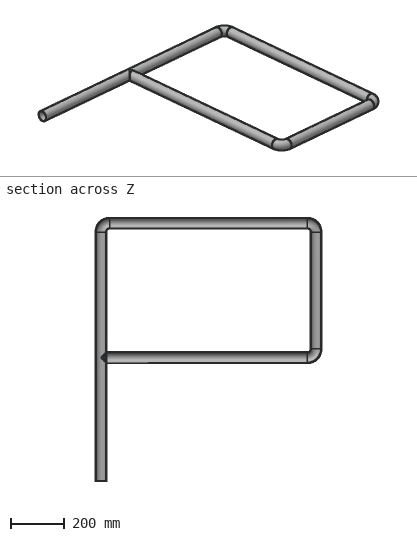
import cadquery as cq

TOTAL_LENGTH = 980.0
TOTAL_WIDTH = 842.0
TUBE_DIAMETER = 42.0
WALL = 3.0
BEND_RADIUS = 32.0
LOOP_SPACING = 500.0

TUBE_RADIUS = TUBE_DIAMETER / 2
BORE_RADIUS = TUBE_RADIUS - WALL

FAR_X = TOTAL_WIDTH - TUBE_DIAMETER
TOP_Y = TOTAL_LENGTH - TUBE_RADIUS
BOTTOM_Y = TOP_Y - LOOP_SPACING


def straight_tube(start, direction, length):
    """Hollow round tube running from start along direction."""
    plane = cq.Plane(origin=start, xDir=(0, 0, 1), normal=direction)
    return cq.Workplane(plane).circle(TUBE_RADIUS).circle(BORE_RADIUS).extrude(length)


def elbow(quarter_turns, corner_x, corner_y):
    """Quarter bend whose straight centrelines would cross at the corner.

    Unturned, it joins a tube on its -X side to a tube on its -Y side.
    """
    bend = (
        cq.Workplane("YZ", origin=(-BEND_RADIUS, 0, 0))
        .circle(TUBE_RADIUS)
        .circle(BORE_RADIUS)
        .revolve(90, (-BEND_RADIUS, 10, 0), (-BEND_RADIUS, 0, 0))
    )
    turned = bend.rotate((0, 0, 0), (0, 0, 1), 90 * quarter_turns)
    return turned.translate((corner_x, corner_y, 0))


def make_bottom_bar():
    """Bar with a saddle cut at its near end that fits around the pole."""
    bar = straight_tube((0, BOTTOM_Y, 0), (1, 0, 0), FAR_X - BEND_RADIUS)
    pole_envelope = cq.Workplane("XZ").circle(TUBE_RADIUS).extrude(-TOTAL_LENGTH)
    return bar.cut(pole_envelope).solids()


pole = straight_tube((0, 0, 0), (0, 1, 0), TOP_Y - BEND_RADIUS)
top_bar = straight_tube((BEND_RADIUS, TOP_Y, 0), (1, 0, 0), FAR_X - 2 * BEND_RADIUS)
far_bar = straight_tube(
    (FAR_X, BOTTOM_Y + BEND_RADIUS, 0), (0, 1, 0), LOOP_SPACING - 2 * BEND_RADIUS
)
bottom_bar = make_bottom_bar()

ELBOW_PLACES = [
    (0, FAR_X, TOP_Y),
    (1, 0, TOP_Y),
    (3, FAR_X, BOTTOM_Y),
]
elbows = [elbow(*place).val() for place in ELBOW_PLACES]

result = cq.Compound.makeCompound(
    [pole.val(), top_bar.val(), far_bar.val(), bottom_bar.val(), *elbows]
)